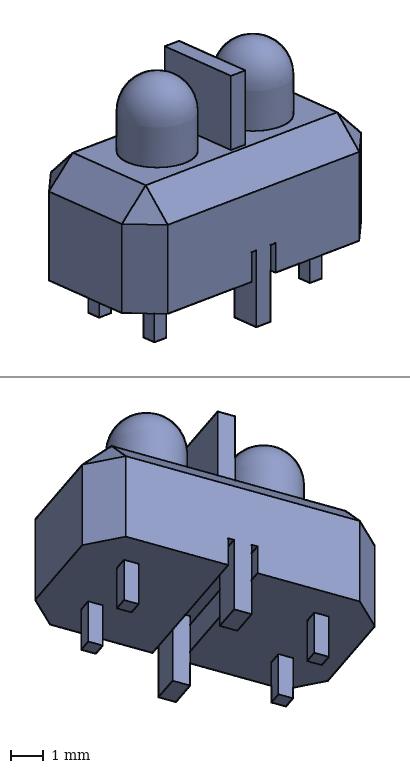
import cadquery as cq

LENGTH = 10.0
WIDTH = 5.3
HEIGHT = 4.0
CHAMFER = 1.0

WALL_THICKNESS = 0.6
WALL_WIDTH = 3.0
WALL_HEIGHT = 2.5
LEG_WIDTH = 1.0
LEG_DROP = 1.59
SLOT_WIDTH = 1.0
SLOT_HEIGHT = 1.0

LAMP_DIAMETER = 2.5
LAMP_RADIUS = LAMP_DIAMETER / 2
LAMP_CYLINDER_HEIGHT = 1.35
LAMP_PITCH = 4.0

PIN_SIZE = 0.5
PIN_LENGTH = 1.5
PIN_PITCH_X = 2.5
PIN_PITCH_Y = 6.5


def block(x_size, y_size, z_size):
    """Box centred in X and Y, rising from Z = 0."""
    return cq.Workplane("XY").box(x_size, y_size, z_size, centered=(True, True, False))


def make_housing():
    """Chamfered block, slotted underneath, with its dividing wall and legs."""
    body = block(WIDTH, LENGTH, HEIGHT).edges("|Z or >Z").chamfer(CHAMFER)
    body = body.cut(block(WIDTH, SLOT_WIDTH, SLOT_HEIGHT))

    wall = block(WALL_WIDTH, WALL_THICKNESS, WALL_HEIGHT).translate((0, 0, HEIGHT))
    body = body.union(wall)

    leg = block(LEG_WIDTH, WALL_THICKNESS, LEG_DROP + SLOT_HEIGHT)
    leg_x = (WIDTH - LEG_WIDTH) / 2
    for side in (-1, 1):
        body = body.union(leg.translate((side * leg_x, 0, -LEG_DROP)))
    return body.clean()


def make_lamp(y):
    """Upright cylinder ending in a hemisphere of the same radius."""
    profile = (
        cq.Workplane("XZ")
        .lineTo(LAMP_RADIUS, 0)
        .lineTo(LAMP_RADIUS, LAMP_CYLINDER_HEIGHT)
        .radiusArc((0, LAMP_CYLINDER_HEIGHT + LAMP_RADIUS), -LAMP_RADIUS)
        .close()
    )
    lamp = profile.revolve(360, (0, 0, 0), (0, 1, 0))
    return lamp.translate((0, y, HEIGHT))


def make_pin(x, y):
    """Square pin hanging from the underside of the housing."""
    return block(PIN_SIZE, PIN_SIZE, PIN_LENGTH).translate((x, y, -PIN_LENGTH))


housing = make_housing()
lamps = [make_lamp(side * LAMP_PITCH / 2) for side in (-1, 1)]
pins = [
    make_pin(x_side * PIN_PITCH_X / 2, y_side * PIN_PITCH_Y / 2)
    for x_side in (-1, 1)
    for y_side in (-1, 1)
]

result = cq.Compound.makeCompound(
    [housing.val()] + [lamp.val() for lamp in lamps] + [pin.val() for pin in pins]
)